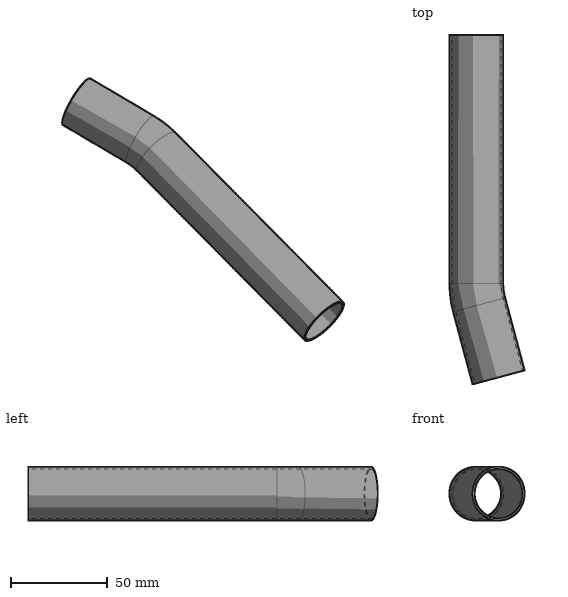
import cadquery as cq
import math

outer_diameter = 28.0
inner_diameter = 25.5
overall_length = 181.0
short_leg = 39.1
bend_radius = 42.0
bend_angle = 15.0


def bend_point(angle):
    """Centreline point reached after turning by angle (degrees) from the start of the bend."""
    turn = math.radians(angle)
    return (
        bend_radius * (1 - math.cos(turn)),
        -bend_radius * math.sin(turn),
    )


bend_end = bend_point(bend_angle)
end_direction = math.radians(bend_angle)
short_leg_end = (
    bend_end[0] + short_leg * math.sin(end_direction),
    bend_end[1] - short_leg * math.cos(end_direction),
)
end_overhang = outer_diameter / 2 * math.sin(end_direction)
long_leg = overall_length + short_leg_end[1] - end_overhang
centreline = (
    cq.Workplane("XY")
    .moveTo(0, long_leg)
    .lineTo(0, 0)
    .threePointArc(bend_point(bend_angle / 2), bend_end)
    .lineTo(*short_leg_end)
)

ring = (
    cq.Workplane("XZ", origin=(0, long_leg, 0))
    .circle(outer_diameter / 2)
    .circle(inner_diameter / 2)
)
result = ring.sweep(centreline)